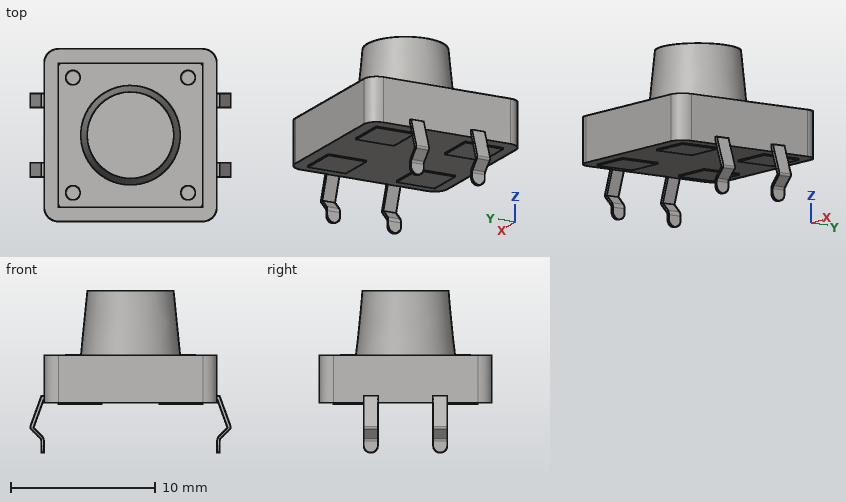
import cadquery as cq
import math


housing_size = 12.0
housing_height = 3.31
corner_radius = 1.0
foot_size = 2.99
foot_height = 0.1

cover_size = 10.0
cover_thickness = 0.2
cover_corner_radius = 0.2

post_diameter = 1.0
post_offset = 4.0
post_head_height = 0.05
post_edge_radius = 0.04

button_base_diameter = 6.9
button_top_diameter = 6.0
button_rise = 4.48

overall_width = 13.92
leg_width = 1.0
leg_offset = 2.41
leg_top = 0.5
leg_bottom = -3.45
leg_thickness = 0.2
arm_thickness = 0.25
arm_lean = math.radians(20)
shin_lean = math.radians(45)
knee_height = -1.67
knee_radius = 0.2
ankle_radius = 0.28

wall = housing_size / 2
leg_reach = overall_width / 2 - wall
cover_floor = housing_height - cover_thickness
foot_offset = (cover_size - foot_size) / 2
signs = (-1, 1)
post_places = [(i * post_offset, j * post_offset) for i in signs for j in signs]
foot_places = [(i * foot_offset, j * foot_offset) for i in signs for j in signs]


def make_housing():
    """Rounded block with a square recess, four posts in the recess and four feet below."""
    block = cq.Workplane("XY").rect(housing_size, housing_size).extrude(housing_height)
    block = block.edges("|Z").fillet(corner_radius)
    recess = (
        cq.Workplane("XY", origin=(0, 0, cover_floor))
        .rect(cover_size, cover_size)
        .extrude(cover_thickness)
    )
    posts = (
        cq.Workplane("XY", origin=(0, 0, cover_floor))
        .pushPoints(post_places)
        .circle(post_diameter / 2)
        .extrude(cover_thickness + post_head_height)
        .faces(">Z")
        .edges()
        .fillet(post_edge_radius)
    )
    feet = cq.Workplane("XY").pushPoints(foot_places).rect(foot_size, foot_size).extrude(-foot_height)
    return block.cut(recess).union(posts).union(feet).solids()


def make_cover():
    """Square plate, flush with the housing top, with holes for the button and the posts."""
    plate = (
        cq.Workplane("XY", origin=(0, 0, cover_floor))
        .rect(cover_size, cover_size)
        .extrude(cover_thickness)
        .edges("|Z")
        .fillet(cover_corner_radius)
    )
    holes = (
        cq.Workplane("XY", origin=(0, 0, cover_floor))
        .circle(button_base_diameter / 2)
        .pushPoints(post_places)
        .circle(post_diameter / 2)
        .extrude(cover_thickness)
    )
    return plate.cut(holes).solids()


def make_button():
    """Cone with a short cylindrical base that stands on the recess floor."""
    base_radius = button_base_diameter / 2
    button_top = housing_height + button_rise
    half_section = [
        (0, cover_floor),
        (base_radius, cover_floor),
        (base_radius, housing_height),
        (button_top_diameter / 2, button_top),
        (0, button_top),
    ]
    return cq.Workplane("XZ").polyline(half_section).close().revolve(360, (0, 0), (0, 1)).solids()


def make_leg():
    """Leg for the +X wall at Y = 0: a slanted arm, a rounded knee, a shin and a round-ended tip."""
    knee_x = wall + leg_reach - knee_radius

    arm_end_x = knee_x + knee_radius * math.cos(arm_lean)
    arm_end_z = knee_height + knee_radius * math.sin(arm_lean)
    shin_start_x = knee_x + knee_radius * math.cos(shin_lean)
    shin_start_z = knee_height - knee_radius * math.sin(shin_lean)
    arm_top_x = arm_end_x - (leg_top - arm_end_z) * math.tan(arm_lean)

    tip_outer_x = wall + leg_thickness
    ankle_outer_z = shin_start_z - (shin_start_x - tip_outer_x) / math.tan(shin_lean)
    ankle_x = tip_outer_x + ankle_radius
    ankle_z = ankle_outer_z - ankle_radius * math.tan(shin_lean / 2)

    def ankle_point(radius, angle):
        return (ankle_x - radius * math.cos(angle), ankle_z + radius * math.sin(angle))

    arm_wall_z = leg_top + (arm_top_x - arm_thickness / math.cos(arm_lean) - wall) / math.tan(arm_lean)
    shin_wall_z = (
        shin_start_z - (shin_start_x - wall) / math.tan(shin_lean) + leg_thickness / math.sin(shin_lean)
    )
    inner_knee_depth = (arm_wall_z - shin_wall_z) / (1 / math.tan(arm_lean) + 1 / math.tan(shin_lean))
    inner_knee = (wall + inner_knee_depth, arm_wall_z - inner_knee_depth / math.tan(arm_lean))

    inner_ankle_radius = ankle_radius + leg_thickness
    strip = (
        cq.Workplane("XZ")
        .moveTo(wall, leg_top)
        .lineTo(arm_top_x, leg_top)
        .lineTo(arm_end_x, arm_end_z)
        .threePointArc((wall + leg_reach, knee_height), (shin_start_x, shin_start_z))
        .lineTo(*ankle_point(ankle_radius, shin_lean))
        .threePointArc(ankle_point(ankle_radius, shin_lean / 2), (tip_outer_x, ankle_z))
        .lineTo(tip_outer_x, leg_bottom)
        .lineTo(wall, leg_bottom)
        .lineTo(wall, ankle_z)
        .threePointArc(
            ankle_point(inner_ankle_radius, shin_lean / 2),
            ankle_point(inner_ankle_radius, shin_lean),
        )
        .lineTo(*inner_knee)
        .lineTo(wall, arm_wall_z)
        .close()
        .extrude(leg_width / 2, both=True)
    )

    round_z = leg_bottom + leg_width / 2
    outline = (
        cq.Workplane("YZ", origin=(wall, 0, 0))
        .moveTo(-leg_width / 2, leg_top)
        .lineTo(-leg_width / 2, round_z)
        .threePointArc((0, leg_bottom), (leg_width / 2, round_z))
        .lineTo(leg_width / 2, leg_top)
        .close()
        .extrude(leg_reach)
    )
    return strip.intersect(outline).solids()


housing = make_housing()
cover = make_cover()
button = make_button()

right_leg = make_leg()
left_leg = right_leg.mirror("YZ")
legs = []
for leg in (left_leg, right_leg):
    for side in signs:
        legs.append(leg.translate((0, side * leg_offset, 0)).solids().val())

result = cq.Compound.makeCompound([housing.val(), cover.val(), button.val(), *legs])